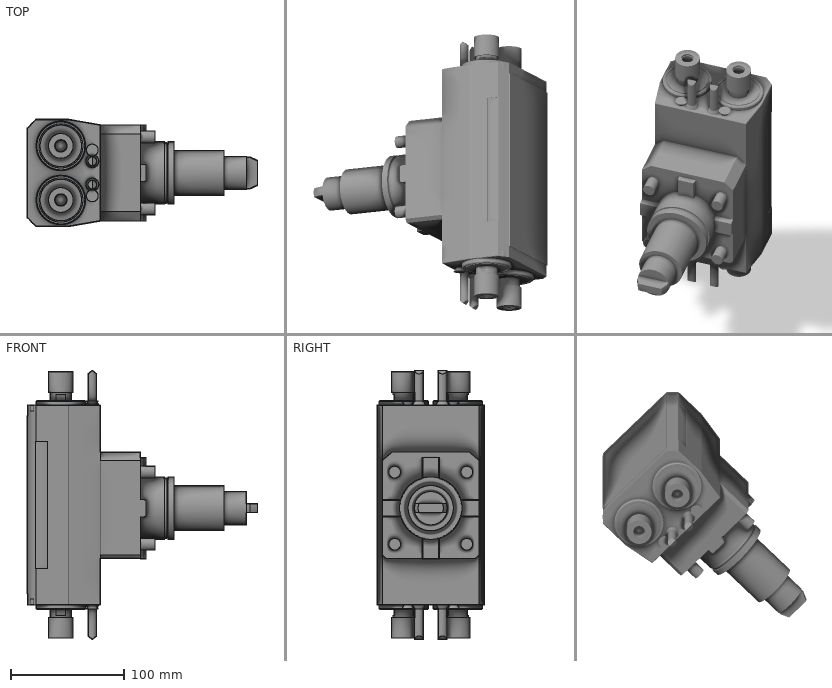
import cadquery as cq
import math


cover_step = 0.7
cover_half_height = 78.5
cover_half_width = 39.7
corner_x = 8.0
taper_x = 36.7
housing_back = 65.0
housing_width = 95.0
housing_half_width = housing_width / 2
housing_back_half_width = 42.5
housing_half_height = 88.5
rim_chamfer = 0.5

side_pocket_back = 18.0
side_pocket_half_height = 56.2
side_pocket_depth = 0.5

rib_width = 3.5
rib_rise = 0.2
rib_bottom = 83.0
rib_top = 88.0

spindle_z = -2.9
block_back = 100.5
block_top = 46.6
block_bottom = -47.4
block_top_chamfer_y = 8.3
block_top_chamfer_z = 7.1
block_bottom_chamfer = 3.0

key_width = 15.2
key_height = 5.0
key_reach_z = 44.7
key_chamfer_x = 2.0
key_chamfer_width = 0.7

screw_offset = 32.0
screw_radius = 5.2
screw_end = 113.3

flange_radius = 27.5
groove_start = 121.5
groove_end = 125.0
groove_radius = 25.5
seal_radius = 27.0
seal_thickness = 2.4
flange_end = 130.2
shank_radius = 20.0
shank_end = 174.5
nose_radius = 14.8
nose_end = 194.0
tang_taper_x = 197.0
tang_end = 204.0
tang_thickness = 7.9
tang_root_radius = 14.3
tang_tip_radius = 11.2

bolt_x = 30.0
bolt_spacing = 47.8
bolt_y = bolt_spacing / 2
collar_radius = 22.0
collar_top = 92.3
collar_chamfer = 0.7
collar_groove_outer = 19.5
collar_groove_inner = 18.3
collar_groove_depth = 0.7
neck_radius = 9.5
neck_flat_offset = 8.5
neck_flat_top = 97.5
neck_top = 99.5
head_radius = 11.0
head_top = 117.8
socket_radius = 5.0
socket_mouth_radius = 5.5
socket_mouth_depth = 2.0
socket_depth = 12.0

pin_x = 57.8
pin_spacing = 20.7
pin_y = pin_spacing / 2
pin_radius = 3.8
pin_top = 119.0
pin_tip_height = 3.0
skirt_radius = 5.7
skirt_top = 91.9
plug_y = 20.2
plug_radius = 5.2
plug_root_radius = 3.3
plug_top = 91.9


def box(x0, x1, y0, y1, z0, z1):
    """Box between opposite corners."""
    return cq.Workplane("XY").box(x1 - x0, y1 - y0, z1 - z0, centered=False).translate((x0, y0, z0))


def cylinder_z(x, y, radius, z0, z1):
    return cq.Workplane("XY", origin=(x, y, z0)).circle(radius).extrude(z1 - z0)


def cone_z(x, y, radius0, radius1, z0, z1):
    """Truncated cone with the given radii at its lower and upper ends."""
    profile = [(0, z0), (radius0, z0), (radius1, z1), (0, z1)]
    return cq.Workplane("XZ").polyline(profile).close().revolve(360, (0, 0), (0, 1)).translate((x, y, 0))


def both_sides(shape):
    return shape.union(shape.mirror("XZ"))


def both_ends(shape):
    return shape.union(shape.mirror("XY"))


def prism(points):
    """Housing section extruded over the full housing height."""
    height = 2 * housing_half_height
    return cq.Workplane("XY", origin=(0, 0, -housing_half_height)).polyline(points).close().extrude(height)


def make_housing():
    front = prism([
        (cover_step, -cover_half_width),
        (corner_x, -housing_half_width),
        (corner_x, housing_half_width),
        (cover_step, cover_half_width),
    ])
    rear = prism([
        (corner_x, -housing_half_width),
        (taper_x, -housing_half_width),
        (housing_back, -housing_back_half_width),
        (housing_back, housing_back_half_width),
        (taper_x, housing_half_width),
        (corner_x, housing_half_width),
    ])
    rear = rear.faces("|Z").edges("not(<X)").chamfer(rim_chamfer)
    cover = box(0, cover_step, -cover_half_width, cover_half_width, -cover_half_height, cover_half_height)
    pocket = box(
        0, side_pocket_back,
        housing_half_width - side_pocket_depth, housing_half_width + side_pocket_depth,
        -side_pocket_half_height, side_pocket_half_height,
    )
    return front.union(rear).union(cover).cut(both_sides(pocket))


def make_ribs():
    rib_radius = ((rib_width / 2) ** 2 + rib_rise ** 2) / (2 * rib_rise)
    run_x = corner_x - cover_step
    run_y = housing_half_width - cover_half_width
    length = math.hypot(run_x, run_y)
    inset = rib_radius - rib_rise
    axis_x = (cover_step + corner_x) / 2 + inset * run_y / length
    axis_y = (cover_half_width + housing_half_width) / 2 - inset * run_x / length
    return both_ends(both_sides(cylinder_z(axis_x, axis_y, rib_radius, rib_bottom, rib_top)))


def make_block():
    half = housing_back_half_width
    outline = [
        (-half, block_bottom + block_bottom_chamfer),
        (-half + block_bottom_chamfer, block_bottom),
        (half - block_bottom_chamfer, block_bottom),
        (half, block_bottom + block_bottom_chamfer),
        (half, block_top - block_top_chamfer_z),
        (half - block_top_chamfer_y, block_top),
        (-half + block_top_chamfer_y, block_top),
        (-half, block_top - block_top_chamfer_z),
    ]
    plane = cq.Workplane("YZ", origin=(housing_back, 0, 0))
    return plane.polyline(outline).close().extrude(block_back - housing_back)


def make_key(reach):
    """Key bar through the spindle axis along Y, with its two long outer edges chamfered."""
    half = key_width / 2
    section = [
        (0, -half),
        (key_height - key_chamfer_x, -half),
        (key_height, -half + key_chamfer_width),
        (key_height, half - key_chamfer_width),
        (key_height - key_chamfer_x, half),
        (0, half),
    ]
    bar = cq.Workplane("XZ").polyline(section).close().extrude(reach, both=True)
    return bar.translate((block_back, 0, spindle_z))


def make_keys():
    upright = make_key(key_reach_z).rotate((0, 0, spindle_z), (1, 0, spindle_z), 90)
    return make_key(housing_back_half_width).union(upright)


def make_screws():
    pattern = cq.Workplane("YZ", origin=(block_back, 0, spindle_z))
    pattern = pattern.rect(2 * screw_offset, 2 * screw_offset, forConstruction=True).vertices()
    return pattern.circle(screw_radius).extrude(screw_end - block_back)


def turned(profile):
    """Solid of revolution about the spindle axis from (x, radius) points."""
    outline = [(profile[0][0], 0)] + profile + [(profile[-1][0], 0)]
    solid = cq.Workplane("XZ").polyline(outline).close().revolve(360, (0, 0), (1, 0))
    return solid.translate((0, 0, spindle_z))


def make_spindle():
    body = turned([
        (block_back, flange_radius),
        (groove_start, flange_radius),
        (groove_start, groove_radius),
        (groove_end, groove_radius),
        (groove_end, flange_radius),
        (flange_end, flange_radius),
        (flange_end, shank_radius),
        (shank_end, shank_radius),
        (shank_end, nose_radius),
        (nose_end, nose_radius),
    ])
    seal_half = seal_thickness / 2
    seal_center = (groove_start + seal_half, seal_radius - seal_half)
    seal = cq.Workplane("XZ").moveTo(*seal_center).circle(seal_half)
    seal = seal.revolve(360, (0, 0), (1, 0)).translate((0, 0, spindle_z))
    tang = turned([
        (nose_end, tang_root_radius),
        (tang_taper_x, tang_root_radius),
        (tang_end, tang_tip_radius),
    ])
    slab = box(
        nose_end, tang_end, -nose_radius, nose_radius,
        spindle_z - tang_thickness / 2, spindle_z + tang_thickness / 2,
    )
    return body.union(seal).union(tang.intersect(slab))


def make_bolt():
    """Collar and socket-head bolt on the upper end of the housing."""
    collar = cylinder_z(bolt_x, bolt_y, collar_radius, housing_half_height, collar_top)
    collar = collar.faces(">Z").edges().chamfer(collar_chamfer)
    groove = cq.Workplane("XY", origin=(bolt_x, bolt_y, collar_top))
    groove = groove.circle(collar_groove_outer).circle(collar_groove_inner).extrude(-collar_groove_depth)
    neck = cylinder_z(bolt_x, bolt_y, neck_radius, collar_top, neck_top)
    flat = box(
        bolt_x - neck_radius, bolt_x + neck_radius,
        neck_flat_offset, neck_radius,
        collar_top, neck_flat_top,
    )
    neck = neck.cut(both_sides(flat).translate((0, bolt_y, 0)))
    head = cylinder_z(bolt_x, bolt_y, head_radius, neck_top, head_top)
    socket = cylinder_z(bolt_x, bolt_y, socket_radius, head_top - socket_depth, head_top)
    mouth = cylinder_z(bolt_x, bolt_y, socket_mouth_radius, head_top - socket_mouth_depth, head_top)
    return collar.cut(groove).union(neck).union(head).cut(socket).cut(mouth)


def make_pin():
    """Guide pin with a roof-shaped tip and a conical skirt."""
    roof = [
        (-pin_radius, housing_half_height),
        (pin_radius, housing_half_height),
        (pin_radius, pin_top - pin_tip_height),
        (0, pin_top),
        (-pin_radius, pin_top - pin_tip_height),
    ]
    roof_prism = cq.Workplane("XZ").polyline(roof).close().extrude(pin_radius, both=True)
    pin = cylinder_z(pin_x, pin_y, pin_radius, housing_half_height, pin_top)
    pin = pin.intersect(roof_prism.translate((pin_x, pin_y, 0)))
    skirt = cone_z(pin_x, pin_y, skirt_radius, pin_radius, housing_half_height, skirt_top)
    return pin.union(skirt)


def make_end_fittings():
    plug = cone_z(pin_x, plug_y, plug_root_radius, plug_radius, housing_half_height, plug_top)
    fittings = make_bolt().union(make_pin()).union(plug)
    return both_ends(both_sides(fittings))


result = make_housing().union(make_ribs()).union(make_block()).union(make_keys())
result = result.union(make_screws()).union(make_spindle()).union(make_end_fittings())